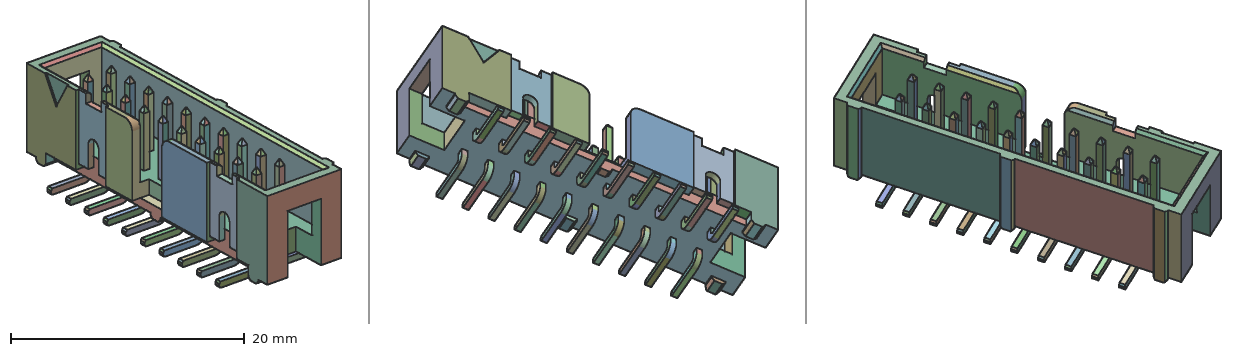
import cadquery as cq
import math


length = 32.7
depth = 8.18
height = 8.5
end_wall = 1.25
side_wall = 0.9
floor_top = 2.4
rim_chamfer = 0.3
front_face = -depth / 2
back_face = depth / 2
base_front = front_face + side_wall
skirt_bottom = 0.88

standoff_x = 14.42
standoff_width = 1.37
standoff_drop = 0.5
standoff_straight = 0.15
standoff_taper = 0.3
front_standoff_length = 1.6
back_standoff_length = 1.0
rib_height = 0.3
rib_chamfer = 0.2

key_width = 4.02
key_radius = 0.98
key_back = -2.22

pad_width = 4.02
pad_recess = 0.3
pad_bottom = 1.37
notch_width = 2.1
notch_depth = 0.98
arch_width = 1.4
arch_top = 4.45

mark_x = -12.33
mark_width = 3.05
mark_height = 2.6
mark_depth = 0.15

window_width = 3.65
window_top = 6.38
window_inner_x = 12.95

pins_per_row = 10
pin_span = 22.85
pitch = pin_span / (pins_per_row - 1)
row_y = pitch / 2
pin_size = 0.62
pin_top = 8.45
pin_tip = 0.55
point_size = 0.05
leg_width = 0.55
leg_thickness = 0.62
leg_reach = 5.6
leg_bottom = -1.67
bend_inner = 0.4
leg_end_setback = 0.13
leg_end_bevel = 0.2

diagonal = math.sqrt(0.5)

pad_centers = (-3 * pitch, 4 * pitch)


def block(x0, x1, y0, y1, z0, z1):
    """Box between two opposite corners."""
    return cq.Workplane("XY").box(x1 - x0, y1 - y0, z1 - z0, centered=False).translate((x0, y0, z0))


def centered_block(x, width, y0, y1, z0, z1):
    """Box of a given width, centred on x."""
    return block(x - width / 2, x + width / 2, y0, y1, z0, z1)


def extrude_along_y(outline, y0, y1):
    """Extrude an XZ outline from y0 to y1."""
    return outline.extrude(-(y1 - y0)).translate((0, y0, 0))


def shell():
    """Open box with a chamfered rim and a base set back under the front wall."""
    body = block(-length / 2, length / 2, front_face, back_face, 0, height)
    cavity_x = length - 2 * end_wall
    cavity_y = depth - 2 * side_wall
    cavity = centered_block(0, cavity_x, -cavity_y / 2, cavity_y / 2, floor_top, height)
    rim = (
        cq.Workplane("XY", origin=(0, 0, height - rim_chamfer))
        .rect(cavity_x, cavity_y)
        .workplane(offset=rim_chamfer)
        .rect(cavity_x + 2 * rim_chamfer, cavity_y + 2 * rim_chamfer)
        .loft()
    )
    relief_width = 2 * standoff_x - standoff_width
    relief = centered_block(0, relief_width, front_face, base_front, 0, skirt_bottom)
    return body.cut(cavity).cut(rim).cut(relief)


def standoff_outline(x, top):
    """XZ outline of a standoff with tapered foot, reaching up to the given height."""
    half = standoff_width / 2
    foot = half - standoff_taper
    return cq.Workplane("XZ").polyline([
        (x - half, top),
        (x - half, -standoff_straight),
        (x - foot, -standoff_drop),
        (x + foot, -standoff_drop),
        (x + half, -standoff_straight),
        (x + half, top),
    ]).close()


def front_standoff(x):
    """Foot below the front edge; over the relief it hangs from the base only."""
    under_relief = abs(x) < standoff_x
    start = base_front if under_relief else front_face
    return extrude_along_y(standoff_outline(x, 0), start, front_face + front_standoff_length)


def back_standoff(x):
    """Foot below the back edge, continued up the back face as a rib."""
    half = standoff_width / 2
    crest = back_face + rib_height
    rib = (
        cq.Workplane("XY", origin=(0, 0, -standoff_drop))
        .polyline([
            (x - half, back_face),
            (x - half, crest - rib_chamfer),
            (x - half + rib_chamfer, crest),
            (x + half - rib_chamfer, crest),
            (x + half, crest - rib_chamfer),
            (x + half, back_face),
        ])
        .close()
        .extrude(standoff_drop + height)
    )
    foot = centered_block(x, standoff_width, back_face - back_standoff_length, back_face, -standoff_drop, 0)
    envelope = extrude_along_y(standoff_outline(x, height), 0, back_face + rib_height)
    return rib.union(foot).intersect(envelope)


def key_slot():
    """Slot through the front wall, flared by round corners and let into the floor."""
    half = key_width / 2
    flare = half + key_radius
    spring = height - key_radius
    bend = key_radius * (1 - diagonal)
    outline = (
        cq.Workplane("XZ")
        .moveTo(-half, skirt_bottom)
        .lineTo(-half, spring)
        .threePointArc((-half - bend, height - bend), (-flare, height))
        .lineTo(flare, height)
        .threePointArc((half + bend, height - bend), (half, spring))
        .lineTo(half, skirt_bottom)
        .close()
    )
    return extrude_along_y(outline, front_face, key_back)


def latch_pad(x):
    """Recess in the front wall with a notch above and an arched opening below."""
    recess = centered_block(x, pad_width, front_face, front_face + pad_recess, 0, height)
    gap = centered_block(x, pad_width, front_face, base_front, 0, pad_bottom)
    notch = centered_block(x, notch_width, front_face, base_front, height - notch_depth, height)
    arch_center = arch_top - arch_width / 2
    opening = centered_block(x, arch_width, front_face, base_front, pad_bottom, arch_center)
    arch = extrude_along_y(
        cq.Workplane("XZ").center(x, arch_center).circle(arch_width / 2), front_face, base_front
    )
    return recess.union(gap).union(notch).union(opening).union(arch)


def pin_one_mark():
    """Shallow triangle engraved at the top of the front face."""
    outline = cq.Workplane("XZ").polyline([
        (mark_x - mark_width / 2, height),
        (mark_x + mark_width / 2, height),
        (mark_x, height - mark_height),
    ]).close()
    return extrude_along_y(outline, front_face, front_face + mark_depth)


def end_window(side):
    """Opening through an end wall and the floor beside it."""
    x0, x1 = sorted((side * window_inner_x, side * length / 2))
    return block(x0, x1, -window_width / 2, window_width / 2, 0, window_top)


def contact():
    """Pointed pin of the front row at x = 0, with its leg bent forward below the housing."""
    shoulder = pin_top - pin_tip
    pin = cq.Workplane("XY").rect(pin_size, pin_size).extrude(shoulder)
    tip = (
        cq.Workplane("XY", origin=(0, 0, shoulder))
        .rect(pin_size, pin_size)
        .workplane(offset=pin_tip)
        .rect(point_size, point_size)
        .loft()
    )
    leg_top = floor_top / 2
    half = leg_thickness / 2
    bend_outer = bend_inner + leg_thickness
    bend_y = -half - bend_inner
    bend_z = leg_bottom + bend_outer
    foot_top = leg_bottom + leg_thickness
    tip_y = row_y - leg_reach
    leg = (
        cq.Workplane("YZ")
        .moveTo(half, leg_top)
        .lineTo(half, bend_z)
        .threePointArc(
            (bend_y + bend_outer * diagonal, bend_z - bend_outer * diagonal), (bend_y, leg_bottom)
        )
        .lineTo(tip_y + leg_end_setback, leg_bottom)
        .lineTo(tip_y, leg_bottom + leg_end_bevel)
        .lineTo(tip_y, foot_top - leg_end_bevel)
        .lineTo(tip_y + leg_end_setback, foot_top)
        .lineTo(bend_y, foot_top)
        .threePointArc(
            (bend_y + bend_inner * diagonal, bend_z - bend_inner * diagonal), (-half, bend_z)
        )
        .lineTo(-half, leg_top)
        .close()
        .extrude(leg_width / 2, both=True)
    )
    return pin.union(tip).union(leg).translate((0, -row_y, 0))


result = shell()
for x in (-standoff_x, 0, standoff_x):
    result = result.union(front_standoff(x)).union(back_standoff(x))

result = result.cut(key_slot()).cut(pin_one_mark())
for x in pad_centers:
    result = result.cut(latch_pad(x))
for side in (-1, 1):
    result = result.cut(end_window(side))

front_contact = contact()
back_contact = front_contact.rotate((0, 0, 0), (0, 0, 1), 180)
for i in range(pins_per_row):
    x = -pin_span / 2 + i * pitch
    result = result.union(front_contact.translate((x, 0, 0)))
    result = result.union(back_contact.translate((x, 0, 0)))